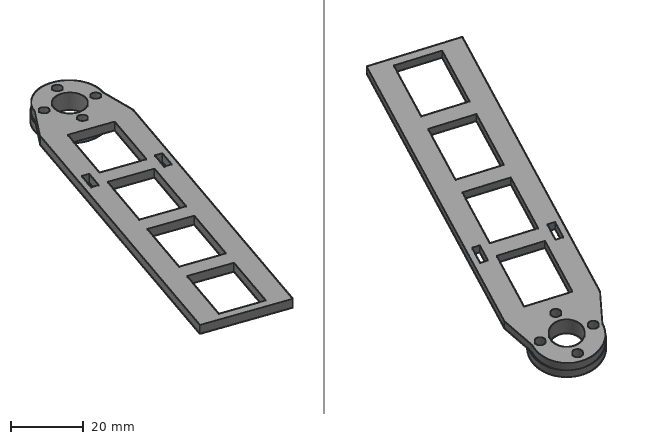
import cadquery as cq

total_length = 122.0
plate_width = 28.5
total_height = 6.0
plate_thickness = 3.0

hub_diameter = 22.0
bore_diameter = 10.0
screw_hole_diameter = 3.0
screw_circle_diameter = 15.9
screw_count = 4

nose_radius = 10.5
taper_end_x = 10.5

window_count = 4
window_length = 20.0
window_width = 14.4
window_pitch = 25.0
end_margin = 2.6

slot_length = 6.0
slot_width = 2.3
slot_x = 35.7
slot_offset_y = 11.2

left_x = -hub_diameter / 2
right_x = left_x + total_length
nose_center_x = left_x + nose_radius
half_width = plate_width / 2
hub_height = total_height - plate_thickness


def make_plate():
    """Long flat plate with a tapered, rounded end."""
    return (
        cq.Workplane("XY")
        .moveTo(right_x, -half_width)
        .lineTo(right_x, half_width)
        .lineTo(taper_end_x, half_width)
        .lineTo(nose_center_x, nose_radius)
        .threePointArc((left_x, 0), (nose_center_x, -nose_radius))
        .lineTo(taper_end_x, -half_width)
        .close()
        .extrude(plate_thickness)
    )


def make_hub():
    """Disc hanging below the plate."""
    return cq.Workplane("XY").circle(hub_diameter / 2).extrude(-hub_height)


def through_cutter():
    """Workplane at the bottom of the hub, from which all cutters rise."""
    return cq.Workplane("XY").workplane(offset=-hub_height)


def make_hub_holes():
    """Central bore with a ring of screw holes."""
    bore = through_cutter().circle(bore_diameter / 2).extrude(total_height)
    screw_holes = (
        through_cutter()
        .polarArray(screw_circle_diameter / 2, 0, 360, screw_count)
        .circle(screw_hole_diameter / 2)
        .extrude(total_height)
    )
    return bore.union(screw_holes)


def make_windows():
    """Row of equal windows, ending a short margin from the square end."""
    last_x = right_x - end_margin - window_length / 2
    centers = [(last_x - i * window_pitch, 0) for i in range(window_count)]
    return (
        through_cutter()
        .pushPoints(centers)
        .rect(window_length, window_width)
        .extrude(total_height)
    )


def make_slots():
    """Two slots mirrored about the plate's centre line."""
    return (
        through_cutter()
        .pushPoints([(slot_x, slot_offset_y), (slot_x, -slot_offset_y)])
        .rect(slot_length, slot_width)
        .extrude(total_height)
    )


result = (
    make_plate()
    .union(make_hub())
    .cut(make_hub_holes())
    .cut(make_windows())
    .cut(make_slots())
)